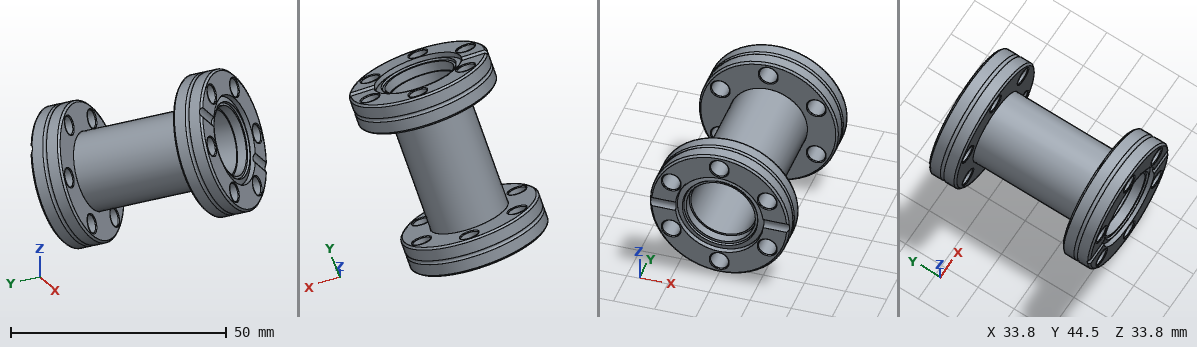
import cadquery as cq
import math


LENGTH = 44.5
FLANGE_DIAMETER = 33.8
FLANGE_THICKNESS = 7.55
RIM_CHAMFER = 0.5

TUBE_OUTER_DIAMETER = 19.0
TUBE_INNER_DIAMETER = 16.0
SOCKET_DIAMETER = 19.1
SOCKET_FLOOR_DEPTH = 3.45

BORE_DIAMETER = 16.8
SEAT_FLOOR_DEPTH = 1.15
KNIFE_BASE_DIAMETER = 18.0
KNIFE_TIP_DIAMETER = 18.4
KNIFE_TIP_DEPTH = 0.65
KNIFE_SLOPE_ANGLE = 20.0
RECESS_DIAMETER = 21.4

INSERT_DIAMETER = 21.1
RING_BORE_DIAMETER = 19.2
RING_LIP_THICKNESS = 2.0

BOLT_COUNT = 6
BOLT_HOLE_DIAMETER = 4.4
BOLT_CIRCLE_RADIUS = 13.5
BOLT_HOLE_CHAMFER = 0.22

LEAK_GROOVE_WIDTH = 2.4
LEAK_GROOVE_DEPTH = 0.62
RIM_GROOVE_WIDTH = 1.0
RIM_GROOVE_DEPTH = 0.22

FLANGE_RADIUS = FLANGE_DIAMETER / 2
END_Y = LENGTH / 2
INSERT_BACK_DEPTH = FLANGE_THICKNESS - RING_LIP_THICKNESS
TUBE_LENGTH = LENGTH - 2 * SOCKET_FLOOR_DEPTH



def cylinder(diameter, start, end):
    """Cylinder on the Z axis between two heights."""
    return cq.Workplane("XY").workplane(offset=start).circle(diameter / 2).extrude(end - start)


def arc_radius(width, depth):
    """Radius of a round groove with the given width and depth."""
    return ((width / 2) ** 2 + depth ** 2) / (2 * depth)


def seat_cavity(outer_diameter):
    """Space in front of the knife edge, with the bore and the tube socket behind it."""
    slope_run = (outer_diameter - KNIFE_TIP_DIAMETER) / 2
    slope_foot_depth = KNIFE_TIP_DEPTH + slope_run * math.tan(math.radians(KNIFE_SLOPE_ANGLE))
    cavity = (
        cq.Workplane("XZ")
        .moveTo(0, 0)
        .lineTo(outer_diameter / 2, 0)
        .lineTo(outer_diameter / 2, slope_foot_depth)
        .lineTo(KNIFE_TIP_DIAMETER / 2, KNIFE_TIP_DEPTH)
        .lineTo(KNIFE_BASE_DIAMETER / 2, SEAT_FLOOR_DEPTH)
        .lineTo(0, SEAT_FLOOR_DEPTH)
        .close()
        .revolve(360, (0, 0), (0, 1))
    )
    bore = cylinder(BORE_DIAMETER, 0, SOCKET_FLOOR_DEPTH)
    socket = cylinder(SOCKET_DIAMETER, SOCKET_FLOOR_DEPTH, FLANGE_THICKNESS)
    return cavity.union(bore).union(socket)


def bolt_hole_cutters():
    """Bolt holes with a chamfer at both ends."""
    hole_radius = BOLT_HOLE_DIAMETER / 2
    mouth_radius = hole_radius + BOLT_HOLE_CHAMFER
    hole = (
        cq.Workplane("XZ")
        .moveTo(0, 0)
        .lineTo(mouth_radius, 0)
        .lineTo(hole_radius, BOLT_HOLE_CHAMFER)
        .lineTo(hole_radius, FLANGE_THICKNESS - BOLT_HOLE_CHAMFER)
        .lineTo(mouth_radius, FLANGE_THICKNESS)
        .lineTo(0, FLANGE_THICKNESS)
        .close()
        .revolve(360, (0, 0), (0, 1))
        .val()
    )
    return (
        cq.Workplane("XY")
        .polarArray(BOLT_CIRCLE_RADIUS, 90, 360, BOLT_COUNT)
        .eachpoint(lambda place: hole.moved(place), combine=False)
    )


def leak_groove_cutter():
    """Rod along X that cuts the leak-check grooves on both sides of the face."""
    radius = arc_radius(LEAK_GROOVE_WIDTH, LEAK_GROOVE_DEPTH)
    return (
        cq.Workplane("YZ")
        .center(0, LEAK_GROOVE_DEPTH - radius)
        .circle(radius)
        .extrude(FLANGE_RADIUS, both=True)
    )


def rim_groove_cutter():
    """Round-bottomed groove around the middle of the rim."""
    radius = arc_radius(RIM_GROOVE_WIDTH, RIM_GROOVE_DEPTH)
    centre_radius = FLANGE_RADIUS - RIM_GROOVE_DEPTH + radius
    return cq.Workplane("XY").add(
        cq.Solid.makeTorus(centre_radius, radius, cq.Vector(0, 0, FLANGE_THICKNESS / 2))
    )


def flange_blank():
    """Chamfered disc with its bolt holes and grooves, without a centre opening."""
    disc = cylinder(FLANGE_DIAMETER, 0, FLANGE_THICKNESS).edges().chamfer(RIM_CHAMFER)
    return disc.cut(bolt_hole_cutters()).cut(leak_groove_cutter()).cut(rim_groove_cutter())


def at_front_end(body):
    """Put the sealing face on the -Y end, facing -Y."""
    return body.rotate((0, 0, 0), (1, 0, 0), -90).translate((0, -END_Y, 0))


def at_back_end(body):
    """Put the sealing face on the +Y end, facing +Y."""
    return body.rotate((0, 0, 0), (1, 0, 0), 90).translate((0, END_Y, 0))


def make_tube():
    """Tube that runs from one socket floor to the other."""
    return (
        cq.Workplane("XZ", origin=(0, TUBE_LENGTH / 2, 0))
        .circle(TUBE_OUTER_DIAMETER / 2)
        .circle(TUBE_INNER_DIAMETER / 2)
        .extrude(TUBE_LENGTH)
    )


def make_fixed_flange():
    """One-piece flange with the recess, knife edge and tube socket cut into it."""
    return flange_blank().cut(seat_cavity(RECESS_DIAMETER))


def make_insert():
    """Knife-edge insert of the rotatable flange."""
    return cylinder(INSERT_DIAMETER, 0, INSERT_BACK_DEPTH).cut(seat_cavity(INSERT_DIAMETER))


def make_bolt_ring():
    """Loose bolt ring of the rotatable flange, with a lip behind the insert."""
    insert_pocket = cylinder(RECESS_DIAMETER, 0, INSERT_BACK_DEPTH)
    tube_opening = cylinder(RING_BORE_DIAMETER, INSERT_BACK_DEPTH, FLANGE_THICKNESS)
    return flange_blank().cut(insert_pocket).cut(tube_opening)


tube = make_tube()
fixed_flange = at_back_end(make_fixed_flange())
insert = at_front_end(make_insert())
bolt_ring = at_front_end(make_bolt_ring())

result = cq.Compound.makeCompound([
    tube.val(),
    fixed_flange.val(),
    insert.val(),
    bolt_ring.val(),
])